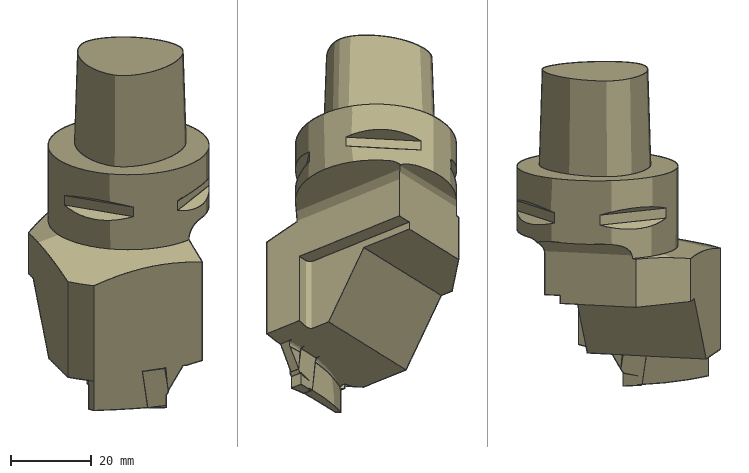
import cadquery as cq
import math

shank_height = 24.0
shank_base_radius = 13.9
shank_top_radius = 13.1
lobe_height = 0.88
section_points = 48

flange_radius = 20.0
flange_height = 20.0
undercut_height = 3.95
undercut_fillet = 3.9

notch_depth = 2.35
notch_z = -9.9
notch_floor_height = 2.5
notch_mouth_height = 5.4
notch_count = 4

head_left = -15.1
head_back = 9.5
head_front = -25.0
head_corner_cut = 11.1
nose_left = 24.3
nose_mid = (26.8, -22.5)
nose_tip = (29.0, -19.8)
side_mid = (26.7, -0.8)
side_back = 27.2
head_bottom = -49.5
head_top_angle = 15.0

step_bottom = -32.3
ramp_start_x = -0.6
ramp_end_x = 10.7

pocket_front = 5.55
pocket_top = -30.25
pocket_end_x = 16.8
pocket_fillet = 1.4
back_bevel_rise = 0.8

blade_end = (28.15, -20.9)
blade_inner_mid = (24.5, -7.6)
blade_inner_back = (24.5, 4.5)
blade_root_fillet = 1.3
blade_end_z = -57.1
blade_belly = (-12.6, -58.55)
blade_low = (-4.8, -59.4)
jaw_end = (0.6, -55.8)
jaw_gap = 0.4

insert_left = 24.3
insert_right = 27.05
insert_top_back = -0.4
insert_top_front = -6.3
insert_low_front = (-4.9, -59.4)
tip_back_top = (0.0, -56.7)
tip_front_top = (-4.5, -57.4)
tip_front_low = (-4.5, -59.65)
tip_low = -60.0
tip_left = 23.95
tip_right = 27.05
tip_relief = 0.4

margin = 4.2
reach = 67.2


def block(x_range, y_range, z_range):
    """Box given by its limits along each axis."""
    size = [b - a for a, b in (x_range, y_range, z_range)]
    corner = (x_range[0], y_range[0], z_range[0])
    return cq.Workplane("XY").box(*size, centered=False).translate(corner)


def lobed_point(radius, turn):
    """Point of a three-lobed constant-width curve with a lobe toward +Y."""
    angle = 2 * math.pi * turn
    support = radius + lobe_height * math.cos(3 * angle)
    slope = -3 * lobe_height * math.sin(3 * angle)
    along = support * math.cos(angle) - slope * math.sin(angle)
    across = support * math.sin(angle) + slope * math.cos(angle)
    return (-across, along)


def lobed_section(radius, z):
    """Closed smooth wire of the lobed shank section at a height."""
    turns = [i / section_points for i in range(section_points)]
    points = [cq.Vector(*lobed_point(radius, turn), z) for turn in turns]
    return cq.Wire.assembleEdges([cq.Edge.makeSpline(points, periodic=True)])


def make_shank():
    base = lobed_section(shank_base_radius, 0)
    top = lobed_section(shank_top_radius, shank_height)
    return cq.Workplane(cq.Solid.makeLoft([base, top], True))


def make_notch(angle):
    """Trapezoidal gripper notch along a chord of the flange."""
    floor_radius = flange_radius - notch_depth
    wall_slope = (notch_mouth_height - notch_floor_height) / 2 / notch_depth
    half_floor = notch_floor_height / 2
    half_mouth = half_floor + wall_slope * (notch_depth + margin)
    outer_radius = flange_radius + margin
    return (
        cq.Workplane("XZ")
        .polyline([
            (floor_radius, notch_z - half_floor),
            (outer_radius, notch_z - half_mouth),
            (outer_radius, notch_z + half_mouth),
            (floor_radius, notch_z + half_floor),
        ])
        .close()
        .extrude(flange_radius, both=True)
        .rotate((0, 0, 0), (0, 0, 1), angle)
    )


def make_flange():
    flange = cq.Workplane("XY").circle(flange_radius).extrude(-flange_height)
    for i in range(notch_count):
        flange = flange.cut(make_notch(360 / notch_count * (i + 0.5)))
    wide = (-reach, reach)
    undercut_z = (-flange_height, undercut_height - flange_height)
    left_cut = block((-reach, head_left), wide, undercut_z)
    left_cut = left_cut.edges(">X and >Z").fillet(undercut_fillet)
    back_cut = block(wide, (head_back, reach), undercut_z)
    back_cut = back_cut.edges("<Y and >Z").fillet(undercut_fillet)
    return flange.cut(left_cut).cut(back_cut)


def make_head():
    blank = (
        cq.Workplane("XY")
        .workplane(offset=-flange_height)
        .moveTo(head_left, head_back)
        .lineTo(head_left, head_front + head_corner_cut)
        .lineTo(head_left + head_corner_cut, head_front)
        .lineTo(nose_left, head_front)
        .threePointArc(nose_mid, nose_tip)
        .threePointArc(side_mid, (side_back, head_back))
        .close()
        .extrude(head_bottom + flange_height)
    )
    cone_drop = (reach - flange_radius) * math.tan(math.radians(head_top_angle))
    under_cone = (
        cq.Workplane("XZ")
        .polyline([
            (0, -flange_height),
            (flange_radius, -flange_height),
            (reach, -flange_height - cone_drop),
            (reach, -reach),
            (0, -reach),
        ])
        .close()
        .revolve(360, (0, 0), (0, 1))
    )
    ramp = (
        cq.Workplane("XZ")
        .polyline([
            (-reach, step_bottom),
            (ramp_start_x, step_bottom),
            (ramp_end_x, head_bottom),
            (-reach, head_bottom),
        ])
        .close()
        .extrude(reach, both=True)
    )
    pocket = block((-reach, pocket_end_x), (pocket_front, reach), (-reach, pocket_top))
    pocket = pocket.edges(">X and <Y").fillet(pocket_fillet)
    bevel = (
        cq.Workplane("YZ")
        .polyline([
            (pocket_front, head_bottom),
            (head_back, head_bottom + back_bevel_rise),
            (head_back, head_bottom),
        ])
        .close()
        .extrude(reach)
    )
    return blank.intersect(under_cone).cut(ramp).cut(pocket).cut(bevel)


def make_blade_blank():
    """Blade in plan, with the back end left long for trimming."""
    return (
        cq.Workplane("XY")
        .workplane(offset=head_bottom)
        .moveTo(*nose_tip)
        .threePointArc(side_mid, (side_back, head_back))
        .lineTo(blade_inner_back[0], head_back)
        .lineTo(*blade_inner_back)
        .threePointArc(blade_inner_mid, blade_end)
        .close()
        .extrude(-reach)
    )


def make_root_fillet():
    """Concave fillet between the inner blade face and the head underside."""
    center_z = head_bottom - blade_root_fillet
    band = (
        cq.Workplane("XY")
        .workplane(offset=head_bottom)
        .moveTo(*blade_inner_back)
        .threePointArc(blade_inner_mid, blade_end)
        .lineTo(blade_end[0] - blade_root_fillet, blade_end[1])
        .threePointArc(
            (blade_inner_mid[0] - blade_root_fillet, blade_inner_mid[1]),
            (blade_inner_back[0] - blade_root_fillet, blade_inner_back[1]),
        )
        .close()
        .extrude(-blade_root_fillet)
    )
    tube_path = (
        cq.Workplane("XY")
        .workplane(offset=center_z)
        .moveTo(blade_inner_back[0] - blade_root_fillet, blade_inner_back[1])
        .threePointArc(
            (blade_inner_mid[0] - blade_root_fillet, blade_inner_mid[1]),
            (blade_end[0] - blade_root_fillet, blade_end[1]),
        )
    )
    tube_start = (blade_inner_back[0] - blade_root_fillet, blade_inner_back[1], center_z)
    tube = (
        cq.Workplane(cq.Plane(tube_start, (1, 0, 0), (0, 1, 0)))
        .circle(blade_root_fillet)
        .sweep(tube_path)
    )
    return band.cut(tube)


def make_blade():
    side_profile = (
        cq.Workplane("YZ")
        .moveTo(blade_end[1], head_bottom)
        .lineTo(blade_end[1], blade_end_z)
        .threePointArc(blade_belly, blade_low)
        .lineTo(jaw_end[0], blade_low[1])
        .lineTo(*jaw_end)
        .lineTo(blade_inner_back[1], head_bottom)
        .close()
        .extrude(reach)
    )
    slot = (
        cq.Workplane("YZ")
        .polyline([
            (insert_top_back + jaw_gap, head_bottom),
            jaw_end,
            (jaw_end[0], tip_low),
            (insert_low_front[0], tip_low),
            insert_low_front,
            (insert_top_front, head_bottom),
        ])
        .close()
        .extrude(reach)
    )
    blade = make_blade_blank().union(make_root_fillet())
    return blade.intersect(side_profile).cut(slot)


def make_holder():
    return make_shank().union(make_flange()).union(make_head()).union(make_blade())


def make_insert():
    bar = (
        cq.Workplane("YZ")
        .workplane(offset=insert_left)
        .polyline([
            (insert_top_back, head_bottom),
            jaw_end,
            tip_back_top,
            (tip_back_top[0], blade_low[1]),
            insert_low_front,
            (insert_top_front, head_bottom),
        ])
        .close()
        .extrude(insert_right - insert_left)
    )
    tip = (
        cq.Workplane("YZ")
        .workplane(offset=tip_left)
        .polyline([
            tip_back_top,
            (tip_back_top[0], tip_low),
            tip_front_low,
            tip_front_top,
        ])
        .close()
        .extrude(tip_right - tip_left)
    )
    tip_plan = (
        cq.Workplane("XY")
        .polyline([
            (tip_left, tip_back_top[0]),
            (tip_right, tip_back_top[0]),
            (tip_right - tip_relief, tip_front_low[0]),
            (tip_left + tip_relief, tip_front_low[0]),
        ])
        .close()
        .extrude(-reach)
    )
    return bar.union(tip.intersect(tip_plan))


holder = make_holder()
insert = make_insert()
result = cq.Compound.makeCompound([holder.val(), insert.val()])